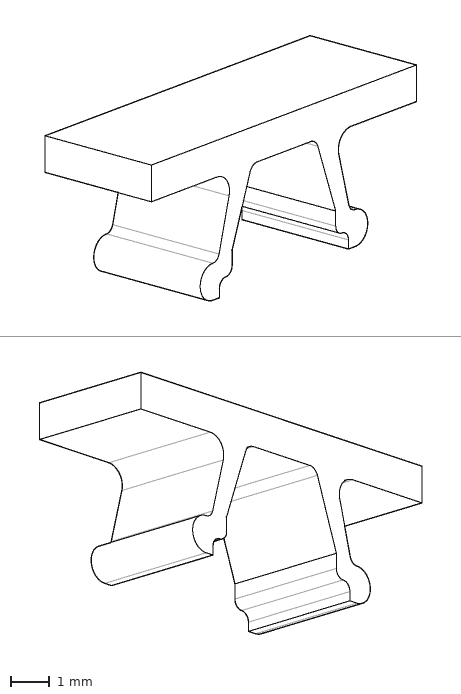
import cadquery as cq
import math

length = 10.5
width = 3.6
height = 4.3
plate_thickness = 1.0

outer_lean = math.radians(15)
inner_lean = math.radians(20)
inner_wall_y = 2.05
inner_wall_top_z = -3.14

bead_radius = 0.5
bead_center_y = 2.81
bead_inner_y = 2.55

root_outer_radius = 0.5
root_inner_radius = 0.3
step_radius = (bead_inner_y - inner_wall_y) / 2
bead_neck_radius = step_radius

plate_bottom_z = -plate_thickness
bead_center_z = -height + bead_radius
bead_top_z = bead_center_z + bead_radius

inner_root_y = inner_wall_y - (plate_bottom_z - inner_wall_top_z) * math.tan(inner_lean)
neck_turn = math.pi / 2 - outer_lean
neck_setback = bead_neck_radius * math.tan(neck_turn / 2)
neck_y = bead_center_y - neck_setback
outer_root_y = neck_y - (plate_bottom_z - bead_top_z) * math.tan(outer_lean)
neck_start_y = neck_y - neck_setback * math.sin(outer_lean)
neck_start_z = bead_top_z + neck_setback * math.cos(outer_lean)


def half_clip():
    """Half of the clip on the +Y side, with its leg and bead, extruded along X."""
    step_middle_y = inner_wall_y + step_radius
    body = (
        cq.Workplane("YZ", origin=(-width / 2, 0, 0))
        .moveTo(0, 0)
        .lineTo(length / 2, 0)
        .lineTo(length / 2, plate_bottom_z)
        .lineTo(outer_root_y, plate_bottom_z)
        .lineTo(neck_start_y, neck_start_z)
        .tangentArcPoint((bead_center_y, bead_top_z), relative=False)
        .threePointArc((bead_center_y + bead_radius, bead_center_z), (bead_center_y, -height))
        .lineTo(bead_inner_y, -height)
        .lineTo(bead_inner_y, bead_center_z - step_radius)
        .tangentArcPoint((step_middle_y, bead_center_z), relative=False)
        .tangentArcPoint((inner_wall_y, bead_center_z + step_radius), relative=False)
        .lineTo(inner_wall_y, inner_wall_top_z)
        .lineTo(inner_root_y, plate_bottom_z)
        .lineTo(0, plate_bottom_z)
        .close()
        .extrude(width)
    )
    blends = [
        (outer_root_y, plate_bottom_z, root_outer_radius),
        (inner_root_y, plate_bottom_z, root_inner_radius),
    ]
    for corner_y, corner_z, radius in blends:
        corner_edge = cq.selectors.NearestToPointSelector((0, corner_y, corner_z))
        body = body.edges("|X").edges(corner_edge).fillet(radius)
    return body


half = half_clip()
result = half.union(half.mirror("XZ")).clean()